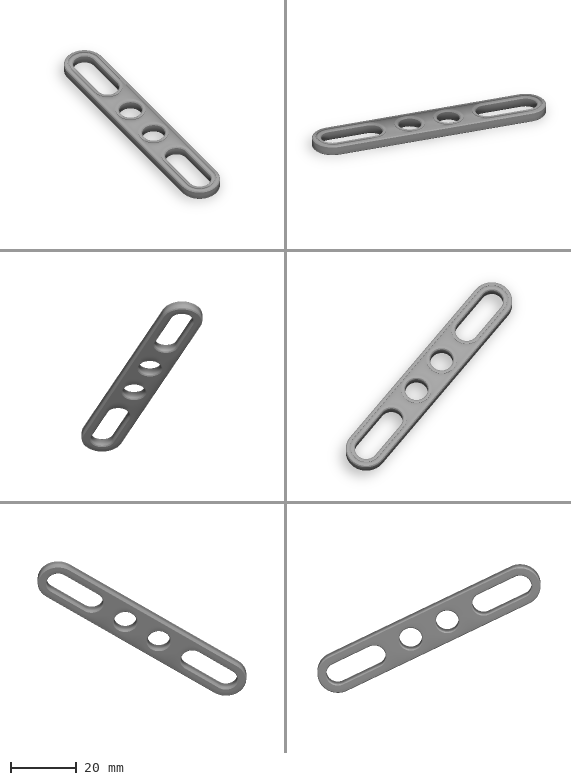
import cadquery as cq

length = 75.0
pitch = length / 6
thickness = 3.15
hole_diameter = 7.0
collar_diameter = 9.2
rim_width = 1.1
recess_depth = 0.2
edge_chamfer = 0.3
chamfer_angle = 45

hole_offset = pitch / 2
slot_offset = 2 * pitch
slot_travel = pitch
openings = [
    (-slot_offset, slot_travel),
    (-hole_offset, 0),
    (hole_offset, 0),
    (slot_offset, slot_travel),
]


def rounded_bar(center_x, travel, diameter, bottom, height, taper=0):
    """Upright bar with round ends, or a plain cylinder when travel is zero."""
    base = cq.Workplane("XY", origin=(center_x, 0, bottom))
    if travel == 0:
        outline = base.circle(diameter / 2)
    else:
        outline = base.slot2D(travel + diameter, diameter)
    return outline.extrude(height, taper=taper)


def make_body():
    bar = rounded_bar(0, length - pitch, pitch, 0, thickness)
    return bar.faces("<Z or >Z").edges().chamfer(edge_chamfer)


def make_recess():
    """Shallow pocket in the top face, leaving the rim and the collars standing."""
    floor = thickness - recess_depth
    pocket = rounded_bar(0, length - pitch, pitch - 2 * rim_width, floor, recess_depth)
    for center_x, travel in openings:
        pocket = pocket.cut(rounded_bar(center_x, travel, collar_diameter, floor, recess_depth))
    return pocket


def make_opening(center_x, travel):
    """Through opening with a chamfered mouth at each face."""
    cutter = rounded_bar(center_x, travel, hole_diameter, 0, thickness)
    mouth_diameter = hole_diameter + 2 * edge_chamfer
    lower_mouth = rounded_bar(center_x, travel, mouth_diameter, 0, edge_chamfer, chamfer_angle)
    upper_mouth = lower_mouth.mirror("XY", (0, 0, thickness / 2))
    return cutter.union(lower_mouth).union(upper_mouth)


result = make_body().cut(make_recess())
for center_x, travel in openings:
    result = result.cut(make_opening(center_x, travel))